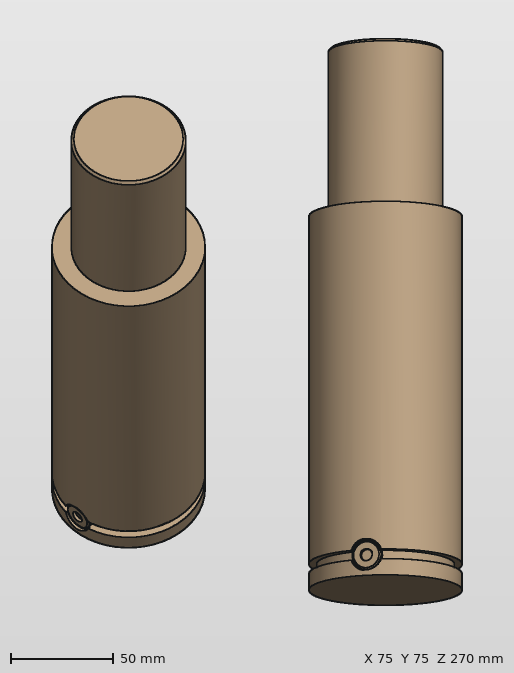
import cadquery as cq

total_height = 270.0
body_diameter = 75.0
body_height = 186.5
rod_diameter = 56.2
rod_chamfer = 1.4

groove_bottom = 8.0
groove_width = 4.9
groove_diameter = 67.5

port_height = groove_bottom + groove_width / 2
port_diameter = 15.7
port_recess = 1.0
plug_diameter = 14.5
plug_chamfer = 0.8
plug_length = 8.0
socket_diameter = 6.0
socket_depth = 2.0

body_radius = body_diameter / 2
plug_face = body_radius - port_recess


def cylinder_from_front(diameter, front, length):
    """Cylinder on the port axis, running inwards from the given distance in front of the body axis."""
    plane = cq.Plane(origin=(0, -front, port_height), xDir=(1, 0, 0), normal=(0, 1, 0))
    return cq.Workplane(plane).circle(diameter / 2).extrude(length)


def make_body():
    body = cq.Workplane("XY").circle(body_radius).extrude(body_height)
    groove = (
        cq.Workplane("XY", origin=(0, 0, groove_bottom))
        .circle(body_diameter)
        .circle(groove_diameter / 2)
        .extrude(groove_width)
    )
    return body.cut(groove)


def make_rod():
    rod = cq.Workplane("XY").circle(rod_diameter / 2).extrude(total_height)
    return rod.faces(">Z").chamfer(rod_chamfer)


def add_port(part):
    recess_depth = port_recess + plug_chamfer
    recess = cylinder_from_front(port_diameter, body_radius, recess_depth)
    plug = cylinder_from_front(plug_diameter, plug_face, plug_length).faces("<Y").chamfer(plug_chamfer)
    socket = cylinder_from_front(socket_diameter, plug_face, socket_depth)
    return part.cut(recess).union(plug).cut(socket)


result = add_port(make_body().union(make_rod()))